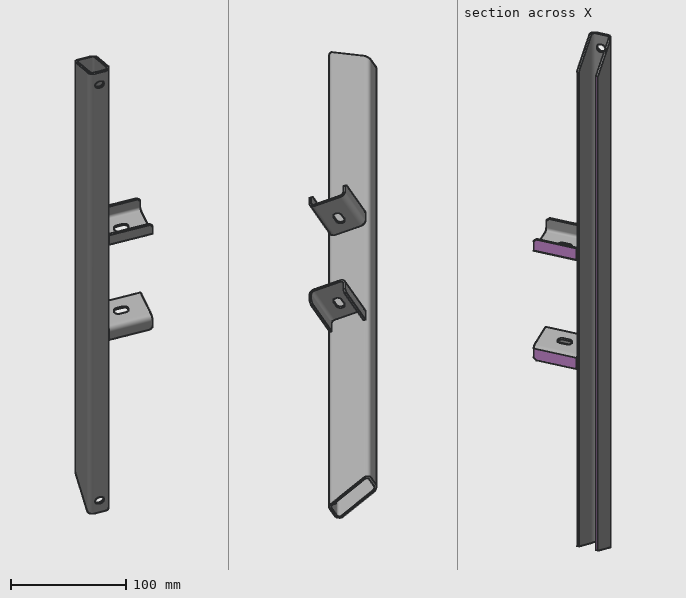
import cadquery as cq
import math

tube_length = 550.0
tube_width = 40.0
tube_depth = 20.0
tube_wall = 2.0
tube_corner_radius = 5.0

end_land = 4.5
miter_angle = 30.0
wall_hole_diameter = 8.0
wall_hole_end_distance = 15.0

overall_depth = 60.0
bracket_length = overall_depth - tube_depth
bracket_width = 34.5
bracket_height = 15.0
bracket_thickness = 2.0
bracket_bend_radius = 5.0
bracket_web_height = 50.5
bracket_corner_chamfer = 3.0
slot_length = 13.0
slot_width = 7.5
slot_end_distance = 23.0

tube_back = tube_depth / 2
bracket_end = tube_back + bracket_length


def make_tube():
    """Hollow rectangular section with rounded corners."""
    outer = (
        cq.Workplane("XY")
        .rect(tube_width, tube_depth)
        .extrude(tube_length / 2, both=True)
        .edges("|Z")
        .fillet(tube_corner_radius)
    )
    inner = (
        cq.Workplane("XY")
        .rect(tube_width - 2 * tube_wall, tube_depth - 2 * tube_wall)
        .extrude(tube_length / 2, both=True)
        .edges("|Z")
        .fillet(tube_corner_radius - tube_wall)
    )
    return outer.cut(inner)


def top_miter_cutter():
    """Triangular wedge removed from the upper end of the tube."""
    slope_run = tube_width - end_land
    slope_drop = slope_run * math.tan(math.radians(miter_angle))
    left = -tube_width / 2
    top = tube_length / 2
    return (
        cq.Workplane("XZ")
        .polyline([(left, top), (left + slope_run, top), (left, top - slope_drop)])
        .close()
        .extrude(tube_depth, both=True)
    )


def top_wall_hole():
    """Round hole through the +X wall near the upper end."""
    return (
        cq.Workplane("YZ")
        .center(0, tube_length / 2 - wall_hole_end_distance)
        .circle(wall_hole_diameter / 2)
        .extrude(tube_width)
    )


def make_upper_bracket():
    """Upward-opening channel with chamfered flange ends and a slotted web."""
    bracket_top = bracket_web_height + bracket_height
    outer = (
        cq.Workplane("XY", origin=(0, tube_back + bracket_length / 2, bracket_web_height))
        .rect(bracket_width, bracket_length)
        .extrude(bracket_height)
        .edges("|Y and <Z")
        .fillet(bracket_bend_radius)
    )
    inner = (
        cq.Workplane("XY", origin=(0, tube_back + bracket_length / 2,
                                   bracket_web_height + bracket_thickness))
        .rect(bracket_width - 2 * bracket_thickness, bracket_length)
        .extrude(bracket_height)
        .edges("|Y and <Z")
        .fillet(bracket_bend_radius - bracket_thickness)
    )
    flange_corner = (
        cq.Workplane("YZ")
        .polyline([
            (bracket_end, bracket_top),
            (bracket_end - bracket_corner_chamfer, bracket_top),
            (bracket_end, bracket_top - bracket_corner_chamfer),
        ])
        .close()
        .extrude(bracket_width, both=True)
    )
    slot = (
        cq.Workplane("XY", origin=(0, bracket_end - slot_end_distance, bracket_web_height))
        .slot2D(slot_length, slot_width, angle=90)
        .extrude(bracket_height)
    )
    return outer.cut(inner).cut(flange_corner).cut(slot)


result = make_tube()
for cutter in (top_miter_cutter(), top_wall_hole()):
    result = result.cut(cutter).cut(cutter.mirror("XY"))

upper_bracket = make_upper_bracket()
result = result.union(upper_bracket).union(upper_bracket.mirror("XY"))

result = result.translate((0, -bracket_length / 2, 0))